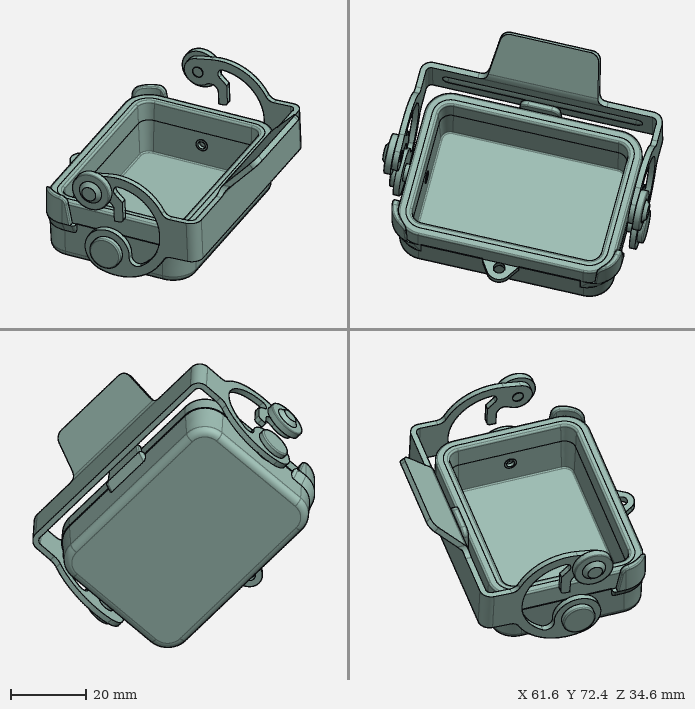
import cadquery as cq
import math


cover_half_x = 21.65
cover_half_y = 30.0
corner_radius = 7.3
cover_height = 17.6
lower_inset = 0.2
parting_z = 11.9
draft = 2.5
bottom_fillet = 2.1
rim_fillet = 0.5
floor_thickness = 2.0
wall = 4.2
floor_fillet = 0.35

rim_width = 2.3
gasket_fillet = 0.6

tongue_reach = 1.45
tongue_height = 19.8
tongue_fillet = 0.35
tongue_root = 0.3
tongue_corner = 2.2
corbel_bottom = 8.1
corbel_rise = parting_z - corbel_bottom
corbel_run = 2.2
corbel_fillet = 0.8
corner_corbel_end_x = -10.7
corner_corbel_end_y = 21.9
corner_tongue_x = (-11.95, -13.55)
corner_tongue_y = (25.8, 26.35)
catch_corbel_half_y = 6.95
catch_tongue_half_y = (6.1, 5.2)

eye_x = -23.1
eye_radius = 3.4
eye_hole_radius = 1.5
eye_thickness = 1.8
eye_root_half_y = 5.0

pivot_x = -0.15
pivot_z = 8.05
lever_tilt = 2.3
sheet = 1.6
lever_half_y = 33.2
bend_inner = 1.45
bend_outer = bend_inner + sheet
back_x = 26.9
web_bottom = 2.25
web_top = 14.1
web_fillet = 2.5
ring_x = 3.25
ring_z = 8.3
ring_outer = 15.3
ring_inner = 12.6
lobe_radius = 6.5
slot_radius = 2.1
boss_x = -3.25
boss_z = 18.7
boss_radius = 4.05
hook_left = 2.5
hook_right = 5.15
hook_bottom = 10.0
hook_shoulder = 16.3
hook_neck_x = 3.05
neck_bulge = (2.75, 19.9)
hook_fillet = 1.1
hook_root_radius = 2.2
opening_start_x = 4.0
bead_radius = 2.9
bead_height = 0.6
bead_half_y = 27.5
bead_z = (web_bottom + web_top) / 2

tab_angle = 45.0
tab_length = 12.6
tab_foot_half_y = 15.5
tab_top_half_y = 13.2
tab_foot_radius = 2.75
tab_corner_radius = 2.6

shaft_radius = 2.4
pin_head_radius = 4.5
pin_head_thickness = 1.6
pin_head_fillet = 0.35
pin_tip_radius = 1.7
pin_tip_y = 25.5
pin_shoulder_y = 29.8
pin_recess_radius = 1.1
pin_recess_depth = 1.1

roller_radius = 5.4
roller_thickness = 1.9
roller_fillet = 0.2
rivet_radius = 1.5
rivet_stand_out = 0.2
rivet_head_base = 3.25
rivet_head_top = 2.0
rivet_head_y = 36.2


def polar(x, z, radius, angle):
    """Point on a circle, angle in radians from +X towards +Z."""
    return (x + radius * math.cos(angle), z + radius * math.sin(angle))


def rounded_rectangle(z, inset, shift_x=0.0, shift_y=0.0):
    """Cover outline at the parting height, moved inwards by `inset`."""
    half_x = cover_half_x - inset
    half_y = cover_half_y - inset
    sketch = cq.Sketch().rect(2 * half_x, 2 * half_y).vertices().fillet(corner_radius - inset)
    return cq.Workplane("XY", origin=(shift_x, shift_y, z)).placeSketch(sketch)


def cylinder_y(radius, y_start, y_end, x, z):
    plane = cq.Workplane("XZ", origin=(x, y_start, z))
    return plane.circle(radius).extrude(y_start - y_end)


def outer_block():
    lower = rounded_rectangle(parting_z, lower_inset).extrude(-parting_z, taper=draft)
    lower = lower.faces("<Z").edges().fillet(bottom_fillet)
    upper = rounded_rectangle(parting_z, 0).extrude(cover_height - parting_z, taper=draft)
    upper = upper.faces(">Z").edges().fillet(rim_fillet)
    return lower.union(upper)


def cavity():
    """Hollow below the gasket."""
    below = rounded_rectangle(parting_z, wall).extrude(floor_thickness - parting_z, taper=draft)
    return below.faces("<Z").edges().fillet(floor_fillet)


def gasket_opening():
    """Opening inside the gasket, continuing the cavity and widening upwards."""
    return rounded_rectangle(parting_z, wall).extrude(cover_height - parting_z, taper=-draft)


def gasket_block():
    """Gasket without its opening, which is also its seat in the cover."""
    return rounded_rectangle(parting_z, rim_width).extrude(cover_height - parting_z)


def corbel(run_x, run_y, window):
    """Cover outline swept outwards as it rises, kept only inside the window."""
    start = (tongue_reach - corbel_run) / corbel_run
    section = rounded_rectangle(corbel_bottom, 0, start * run_x, start * run_y).extrude(corbel_rise)
    outline = section.faces("<Z").wires().val()
    sweep = cq.Solid.extrudeLinear(outline, [], cq.Vector(run_x, run_y, corbel_rise))
    return cq.Workplane(sweep).intersect(window)


def tongue_shell(shift_x, shift_y):
    """Upright shell between the shifted outline and the cover."""
    rise = tongue_height - parting_z
    shell = rounded_rectangle(parting_z, 0, shift_x, shift_y).extrude(rise)
    return shell.cut(rounded_rectangle(parting_z, tongue_root).extrude(rise))


def corner_tongue():
    """Tongue at the corner (-X, +Y)."""
    far = 2 * cover_half_y
    box_x = far + corner_corbel_end_x
    box_y = far - corner_corbel_end_y
    window = cq.Workplane("XY").box(box_x, box_y, far, centered=False)
    window = window.translate((-far, corner_corbel_end_y, 0))
    support = corbel(0, corbel_run, window)
    middle_y = cover_half_y + tongue_reach - corbel_run / 2
    end_edge = (corner_corbel_end_x, middle_y, (corbel_bottom + parting_z) / 2)
    support = support.edges(cq.NearestToPointSelector(end_edge)).fillet(corbel_fillet)

    side = cq.Workplane("XZ", origin=(0, far, 0)).polyline(
        [(-far, parting_z), (corner_tongue_x[0], parting_z),
         (corner_tongue_x[1], tongue_height), (-far, tongue_height)]
    ).close().extrude(far)
    side = side.edges("|Y and >Z").fillet(tongue_corner)
    face = cq.Workplane("YZ", origin=(-far, 0, 0)).polyline(
        [(far, parting_z), (corner_tongue_y[0], parting_z),
         (corner_tongue_y[1], tongue_height), (far, tongue_height)]
    ).close().extrude(far)
    face = face.edges("|X and >Z").fillet(tongue_corner)
    tongue = tongue_shell(0, tongue_reach).intersect(side).intersect(face)
    tongue = tongue.faces(">Z").edges().fillet(tongue_fillet)
    return support.union(tongue)


def catch_tongue():
    """Tongue in the middle of the +X side."""
    far = 2 * cover_half_y
    window = cq.Workplane("XY").box(far, 2 * catch_corbel_half_y, far, centered=(False, True, False))
    support = corbel(corbel_run, 0, window)
    middle_x = cover_half_x + tongue_reach - corbel_run / 2
    for side_y in (-catch_corbel_half_y, catch_corbel_half_y):
        end_edge = (middle_x, side_y, (corbel_bottom + parting_z) / 2)
        support = support.edges(cq.NearestToPointSelector(end_edge)).fillet(corbel_fillet)
    foot, top = catch_tongue_half_y
    face = cq.Workplane("YZ").polyline(
        [(-foot, parting_z), (foot, parting_z), (top, tongue_height), (-top, tongue_height)]
    ).close().extrude(far)
    face = face.edges("|X and >Z").fillet(tongue_corner)
    tongue = tongue_shell(tongue_reach, 0).intersect(face)
    tongue = tongue.faces(">Z").edges().fillet(tongue_fillet)
    return support.union(tongue)


def tether_eye():
    """Eye plate with a round tip and the hole through it."""
    reach = math.hypot(cover_half_x + eye_x, eye_root_half_y)
    angle = math.atan2(eye_root_half_y, -cover_half_x - eye_x) + math.acos(eye_radius / reach)
    tangent_x, tangent_y = polar(eye_x, 0, eye_radius, angle)
    root_x = -cover_half_x + wall / 2
    plane = cq.Workplane("XY", origin=(0, 0, parting_z))
    plate = (
        plane.moveTo(root_x, -eye_root_half_y)
        .lineTo(-cover_half_x, -eye_root_half_y)
        .lineTo(tangent_x, -tangent_y)
        .threePointArc((eye_x - eye_radius, 0), (tangent_x, tangent_y))
        .lineTo(-cover_half_x, eye_root_half_y)
        .lineTo(root_x, eye_root_half_y)
        .close()
        .extrude(-eye_thickness)
    )
    hole = plane.center(eye_x, 0).circle(eye_hole_radius).extrude(-eye_thickness)
    return plate, hole


def make_cover(pins):
    eye, eye_hole = tether_eye()
    corner = corner_tongue()
    cover = outer_block().union(corner).union(corner.mirror("XZ"))
    cover = cover.union(catch_tongue()).union(eye)
    cover = cover.cut(cavity()).cut(gasket_block()).cut(eye_hole)
    for pin in pins:
        cover = cover.cut(pin)
    return cq.Workplane(max(cover.solids().vals(), key=lambda solid: solid.Volume()))


def make_gasket():
    gasket = gasket_block().cut(gasket_opening())
    top_wires = gasket.faces(">Z").wires().vals()
    inner_wire = min(top_wires, key=lambda wire: wire.Length())
    return gasket.newObject(inner_wire.Edges()).fillet(gasket_fillet)


def web_blend(edge_z, up):
    """Fillet between the ring and a straight web edge: its three points and the ring angle."""
    centre_z = edge_z + up * web_fillet
    run = math.sqrt((ring_outer + web_fillet) ** 2 - (centre_z - ring_z) ** 2)
    centre_x = ring_x + run
    angle = math.atan2(centre_z - ring_z, run)
    on_ring = polar(ring_x, ring_z, ring_outer, angle)
    half_way = polar(centre_x, centre_z, web_fillet, math.pi + (angle + up * math.pi / 2) / 2)
    return on_ring, half_way, (centre_x, edge_z), angle


def side_plate():
    """Flat hooked plate on the +Y side, from the roller boss to the bend."""
    bend_x = back_x - bend_outer

    gap = math.hypot(boss_x - ring_x, boss_z - ring_z)
    heading = math.atan2(boss_z - ring_z, boss_x - ring_x)
    tangent = heading - math.acos((ring_outer - boss_radius) / gap)

    top_ring, top_mid, top_web, top_angle = web_blend(web_top, 1)
    low_ring, low_mid, low_web, low_angle = web_blend(web_bottom, -1)

    lobe_angle = math.atan2(-ring_z, -ring_x)
    lobe_low = polar(0, 0, lobe_radius, lobe_angle)
    ring_low = polar(ring_x, ring_z, ring_outer, (low_angle + lobe_angle) / 2)

    to_lobe = lobe_radius + slot_radius
    to_ring = ring_inner - slot_radius
    base = math.hypot(ring_x, ring_z)
    opening = math.acos((to_lobe**2 + base**2 - to_ring**2) / (2 * to_lobe * base))
    slot_angle = math.atan2(ring_z, ring_x) - opening
    slot_x, slot_z = polar(0, 0, to_lobe, slot_angle)
    slot_lobe = polar(0, 0, lobe_radius, slot_angle)
    ring_angle = math.atan2(slot_z - ring_z, slot_x - ring_x)
    slot_ring = polar(ring_x, ring_z, ring_inner, ring_angle)
    slot_low = polar(slot_x, slot_z, slot_radius, (ring_angle + slot_angle - math.pi) / 2)
    lobe_far = polar(0, 0, lobe_radius, (slot_angle + lobe_angle + 2 * math.pi) / 2)

    inner_end = math.acos((opening_start_x - ring_x) / ring_inner)
    inner_top = polar(ring_x, ring_z, ring_inner, inner_end)
    inner_mid = polar(ring_x, ring_z, ring_inner, (ring_angle + inner_end) / 2)

    neck_low = (hook_neck_x, hook_shoulder + hook_right - hook_neck_x)
    root_x = hook_left - hook_root_radius
    root_z = boss_z - math.sqrt((boss_radius + hook_root_radius) ** 2 - (root_x - boss_x) ** 2)
    root_angle = math.atan2(root_z - boss_z, root_x - boss_x)
    root_boss = polar(boss_x, boss_z, boss_radius, root_angle)
    root_mid = polar(root_x, root_z, hook_root_radius, (root_angle + math.pi) / 2)
    boss_far = polar(boss_x, boss_z, boss_radius, (root_angle + 2 * math.pi + tangent) / 2)
    toe = hook_fillet * (1 - math.sqrt(0.5))

    plate = (
        cq.Workplane("XZ", origin=(0, lever_half_y, 0))
        .moveTo(*polar(boss_x, boss_z, boss_radius, tangent))
        .lineTo(*polar(ring_x, ring_z, ring_outer, tangent))
        .threePointArc(polar(ring_x, ring_z, ring_outer, (tangent + top_angle) / 2), top_ring)
        .threePointArc(top_mid, top_web)
        .lineTo(bend_x, web_top)
        .lineTo(bend_x, web_bottom)
        .lineTo(*low_web)
        .threePointArc(low_mid, low_ring)
        .threePointArc(ring_low, lobe_low)
        .threePointArc(lobe_far, slot_lobe)
        .threePointArc(slot_low, slot_ring)
        .threePointArc(inner_mid, inner_top)
        .threePointArc(neck_bulge, neck_low)
        .lineTo(hook_right, hook_shoulder)
        .lineTo(hook_right, hook_bottom + hook_fillet)
        .threePointArc((hook_right - toe, hook_bottom + toe), (hook_right - hook_fillet, hook_bottom))
        .lineTo(hook_left, hook_bottom)
        .lineTo(hook_left, root_z)
        .threePointArc(root_mid, root_boss)
        .threePointArc(boss_far, polar(boss_x, boss_z, boss_radius, tangent))
        .close()
        .extrude(sheet)
    )
    plate = plate.cut(cylinder_y(shaft_radius, 0, lever_half_y, 0, 0))
    return plate.cut(cylinder_y(rivet_radius, 0, lever_half_y, boss_x, boss_z))


def back_plate():
    """Back of the lever with its two corner bends and stiffening bead."""
    bend_x = back_x - bend_outer
    height = web_top - web_bottom
    plane = cq.Workplane("XY", origin=(0, 0, web_bottom))
    outside = plane.rect(2 * back_x, 2 * lever_half_y).extrude(height)
    outside = outside.edges("|Z and >X").fillet(bend_outer)
    inside = plane.rect(2 * (back_x - sheet), 2 * (lever_half_y - sheet)).extrude(height)
    inside = inside.edges("|Z and >X").fillet(bend_inner)
    front = plane.center(bend_x - back_x, 0).rect(2 * back_x, 2 * lever_half_y).extrude(height)
    plate = outside.cut(inside).cut(front)

    bead_x = back_x - sheet - bead_height + bead_radius
    bead_half_width = math.sqrt(bead_radius**2 - (bead_radius - bead_height) ** 2)
    bead_end = bead_half_y - bead_half_width
    bead = cylinder_y(bead_radius, -bead_end, bead_end, bead_x, bead_z)
    for end in (-bead_end, bead_end):
        bead = bead.union(cq.Workplane("XY", origin=(bead_x, end, bead_z)).sphere(bead_radius))
    keep = plane.rect(2 * (back_x - sheet / 2), 2 * lever_half_y).extrude(height)
    return plate.union(bead.intersect(keep))


def thumb_tab():
    """Sheet that bends outwards above the back plate, narrowing upwards."""
    bend = math.radians(tab_angle)
    centre_x = back_x + bend_inner
    slope = (tab_length * math.sin(bend), tab_length * math.cos(bend))
    outer_end = polar(centre_x, web_top, bend_outer, math.pi - bend)
    inner_end = polar(centre_x, web_top, bend_inner, math.pi - bend)
    half_width = lever_half_y - bend_outer
    strip = (
        cq.Workplane("XZ", origin=(0, half_width, 0))
        .moveTo(back_x - sheet, web_top)
        .threePointArc(polar(centre_x, web_top, bend_outer, math.pi - bend / 2), outer_end)
        .lineTo(outer_end[0] + slope[0], outer_end[1] + slope[1])
        .lineTo(inner_end[0] + slope[0], inner_end[1] + slope[1])
        .lineTo(*inner_end)
        .threePointArc(polar(centre_x, web_top, bend_inner, math.pi - bend / 2), (back_x, web_top))
        .close()
        .extrude(2 * half_width)
    )
    tab_top = outer_end[1] + slope[1]
    outline = (
        cq.Workplane("YZ")
        .polyline([
            (-half_width, web_bottom), (half_width, web_bottom), (half_width, web_top),
            (tab_foot_half_y, web_top), (tab_top_half_y, tab_top),
            (-tab_top_half_y, tab_top), (-tab_foot_half_y, web_top), (-half_width, web_top),
        ])
        .close()
        .extrude(2 * back_x)
    )
    for foot_y in (-tab_foot_half_y, tab_foot_half_y):
        foot_edge = cq.NearestToPointSelector((back_x, foot_y, web_top))
        outline = outline.edges(foot_edge).fillet(tab_foot_radius)
    tab = strip.intersect(outline)
    return tab.faces(">(1, 0, 1)").edges("not |Y").fillet(tab_corner_radius)


def place_on_pivot(body):
    tilted = body.rotate((0, 0, 0), (0, -1, 0), lever_tilt)
    return tilted.translate((pivot_x, 0, pivot_z))


def make_lever():
    plate = side_plate()
    lever = back_plate().union(plate).union(plate.mirror("XZ")).union(thumb_tab())
    return place_on_pivot(lever)


def make_pin():
    shaft = cylinder_y(shaft_radius, pin_shoulder_y, lever_half_y, pivot_x, pivot_z)
    tip = cylinder_y(pin_tip_radius, pin_tip_y, pin_shoulder_y, pivot_x, pivot_z)
    recess = cylinder_y(pin_recess_radius, pin_tip_y, pin_tip_y + pin_recess_depth, pivot_x, pivot_z)
    head = cylinder_y(pin_head_radius, lever_half_y, lever_half_y + pin_head_thickness, pivot_x, pivot_z)
    head = head.faces(">Y").edges().fillet(pin_head_fillet)
    return shaft.union(tip).cut(recess).union(head)


def make_roller():
    roller_y = lever_half_y + roller_thickness
    inner_y = lever_half_y - sheet - rivet_stand_out
    roller = cylinder_y(roller_radius, lever_half_y, roller_y, boss_x, boss_z)
    roller = roller.faces(">Y").edges().fillet(roller_fillet)
    rivet = cylinder_y(rivet_radius, inner_y, lever_half_y, boss_x, boss_z)
    head = (
        cq.Workplane("XZ", origin=(boss_x, roller_y, boss_z))
        .circle(rivet_head_base)
        .workplane(offset=roller_y - rivet_head_y)
        .circle(rivet_head_top)
        .loft()
    )
    return place_on_pivot(roller.union(rivet).union(head))


def on_side(body, side):
    """The body itself on the +Y side (1), its mirror image on the -Y side (-1)."""
    return body if side > 0 else body.mirror("XZ")


pins = []
rollers = []
for side in (1, -1):
    pins.append(on_side(make_pin(), side))
    rollers.append(on_side(make_roller(), side))
cover = make_cover(pins)
gasket = make_gasket()
lever = make_lever()

bodies = [cover, gasket, lever, *pins, *rollers]
result = cq.Compound.makeCompound([body.solids().val() for body in bodies])